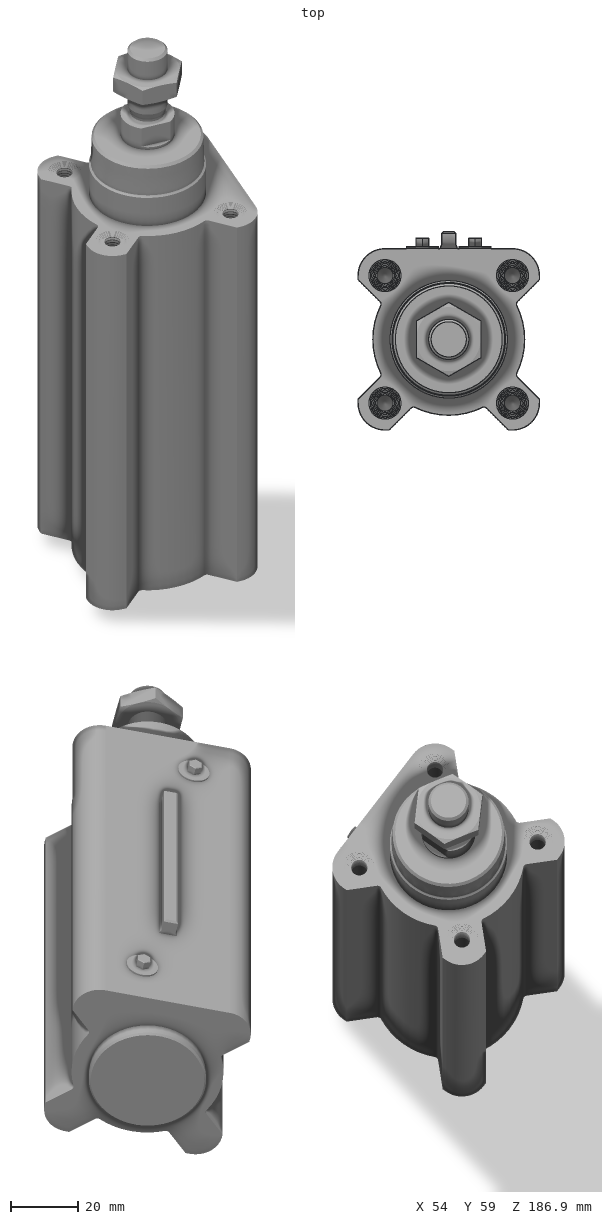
import cadquery as cq
import math

TOTAL_HEIGHT = 186.9
BODY_BOTTOM = 4.1
BODY_TOP = 134.2
COLLAR_STEP = 145.0
COLLAR_TOP = 155.3
FLATS_BOTTOM = 156.2
SHOULDER_TOP = 163.0
NECK_TOP = 164.8
NUT_BOTTOM = 173.5
NUT_HEIGHT = 6.0
BODY_MIDDLE = (BODY_BOTTOM + BODY_TOP) / 2

BODY_WIDTH = 54.0
CORNER_RADIUS = 8.0
BOSS_PLACE = BODY_WIDTH / 2 - CORNER_RADIUS
BARREL_RADIUS = 22.6
ARM_WIDTH = 13.0
ARM_ANGLE = 45.0
ARM_FILLET = 1.1
EDGE_TOLERANCE = 0.02

COLLAR_DIAMETER = 35.0
TAPER_TOP_DIAMETER = 33.3
COLLAR_CHAMFER = 0.7
STEP_CHAMFER = 0.5
REAR_CHAMFER = 0.5

SOCKET_DIAMETER = 9.5
SOCKET_STEPS = 6
SOCKET_STEP_DEPTH = 0.1
HOLE_DIAMETER = 4.9
HOLE_DEPTH = 18.7
HOLE_GROOVES = 6
GROOVE_DIAMETER = 5.5
GROOVE_PITCH = 1.0
DRILL_POINT_ANGLE = 118.0

RAIL_WIDTH = 4.3
RAIL_LENGTH = 64.1
RAIL_HEIGHT = 5.0
RAIL_CHAMFER = 0.5
RAIL_FOOT_WIDTH = 5.2
RAIL_FOOT_HEIGHT = 1.1
SCREW_OFFSET_X = 7.8
SCREW_END_DISTANCE = 15.0
SCREW_FLANGE_DIAMETER = 9.5
SCREW_FLANGE_HEIGHT = 0.5
SCREW_HEAD_ACROSS_CORNERS = 4.5
SCREW_HEAD_TOP = 3.2
SCREW_CHAMFER = 0.2

ROD_DIAMETER = 16.0
ROD_FLATS_WIDTH = 13.0
THREAD_DIAMETER = 12.0
THREAD_CHAMFER = 0.7
THREAD_RUNOUT = 1.9
NECK_DIAMETER = 10.7
NECK_GROOVE_DIAMETER = 10.3
NECK_BASE_DIAMETER = 11.4
NECK_BAND = 0.5
NUT_ACROSS_FLATS = 19.0
NUT_CHAMFER_ANGLE = 15.0
HEXAGON_HALF_ANGLE = 30.0


def cylinder(diameter, bottom, top):
    """Upright cylinder on the Z axis between two heights."""
    return cq.Workplane("XY").workplane(offset=bottom).circle(diameter / 2).extrude(top - bottom)


def revolved(points):
    """Solid of revolution about the Z axis from (radius, height) points."""
    return cq.Workplane("XZ").polyline(points).close().revolve(360, (0, 0, 0), (0, 1, 0))


def make_profile():
    """Round barrel with a corner arm on each diagonal and a flat +Y side."""
    height = BODY_TOP - BODY_BOTTOM
    half = BODY_WIDTH / 2
    plane = cq.Workplane("XY").workplane(offset=BODY_BOTTOM)
    envelope = plane.rect(BODY_WIDTH, BODY_WIDTH).extrude(height).edges("|Z").fillet(CORNER_RADIUS)

    arms = plane.polyline([(0, 0), (half, half), (-half, half)]).close().extrude(height)
    for angle in (ARM_ANGLE, -ARM_ANGLE):
        strip = plane.rect(2 * BODY_WIDTH, ARM_WIDTH).extrude(height)
        arms = arms.union(strip.rotate((0, 0, 0), (0, 0, 1), angle))

    profile = plane.circle(BARREL_RADIUS).extrude(height).union(envelope.intersect(arms))

    def is_inner_corner(edge):
        center = edge.Center()
        return abs(math.hypot(center.x, center.y) - BARREL_RADIUS) < EDGE_TOLERANCE

    return profile.edges("|Z").filter(is_inner_corner).fillet(ARM_FILLET)


def make_collars():
    """Stepped front collar with a slight taper, and the short rear collar."""
    front = revolved([
        (0, BODY_TOP),
        (COLLAR_DIAMETER / 2, BODY_TOP),
        (COLLAR_DIAMETER / 2, COLLAR_STEP - STEP_CHAMFER),
        (COLLAR_DIAMETER / 2 - STEP_CHAMFER, COLLAR_STEP),
        (TAPER_TOP_DIAMETER / 2, COLLAR_TOP - COLLAR_CHAMFER),
        (TAPER_TOP_DIAMETER / 2 - COLLAR_CHAMFER, COLLAR_TOP),
        (0, COLLAR_TOP),
    ])
    rear = cylinder(COLLAR_DIAMETER, 0, BODY_BOTTOM).faces("<Z").chamfer(REAR_CHAMFER)
    return front.union(rear)


def make_socket():
    """Cutter for one mounting socket: stepped countersink, grooved hole and drill point."""
    step_width = (SOCKET_DIAMETER - HOLE_DIAMETER) / 2 / SOCKET_STEPS
    points = [(0, BODY_TOP)]
    for step in range(SOCKET_STEPS):
        radius = SOCKET_DIAMETER / 2 - step * step_width
        points.append((radius, BODY_TOP - step * SOCKET_STEP_DEPTH))
        points.append((radius, BODY_TOP - (step + 1) * SOCKET_STEP_DEPTH))

    hole_radius = HOLE_DIAMETER / 2
    groove_top = BODY_TOP - SOCKET_STEPS * SOCKET_STEP_DEPTH
    for groove in range(HOLE_GROOVES):
        height = groove_top - groove * GROOVE_PITCH
        points.append((hole_radius, height))
        points.append((GROOVE_DIAMETER / 2, height - GROOVE_PITCH / 2))

    hole_bottom = BODY_TOP - HOLE_DEPTH
    point_depth = hole_radius / math.tan(math.radians(DRILL_POINT_ANGLE / 2))
    points.append((hole_radius, groove_top - HOLE_GROOVES * GROOVE_PITCH))
    points.append((hole_radius, hole_bottom))
    points.append((0, hole_bottom - point_depth))
    return revolved(points)


def make_rail():
    """Straight rail on the +Y face with a slightly flared foot."""
    face = BODY_WIDTH / 2
    outline = [
        (-RAIL_FOOT_WIDTH / 2, face),
        (RAIL_FOOT_WIDTH / 2, face),
        (RAIL_WIDTH / 2, face + RAIL_FOOT_HEIGHT),
        (RAIL_WIDTH / 2, face + RAIL_HEIGHT),
        (-RAIL_WIDTH / 2, face + RAIL_HEIGHT),
        (-RAIL_WIDTH / 2, face + RAIL_FOOT_HEIGHT),
    ]
    bottom = BODY_MIDDLE - RAIL_LENGTH / 2
    rail = cq.Workplane("XY").workplane(offset=bottom).polyline(outline).close().extrude(RAIL_LENGTH)
    return rail.faces(">Y").chamfer(RAIL_CHAMFER)


def make_screw(x, z):
    """Flanged hexagon head of an adjusting screw standing on the +Y face."""
    plane = cq.Workplane(cq.Plane((x, BODY_WIDTH / 2, z), (0, 0, 1), (0, 1, 0)))
    flange = plane.circle(SCREW_FLANGE_DIAMETER / 2).extrude(SCREW_FLANGE_HEIGHT)
    head = plane.polygon(6, SCREW_HEAD_ACROSS_CORNERS).extrude(SCREW_HEAD_TOP)
    head = head.faces(">Y").chamfer(SCREW_CHAMFER)
    return flange.union(head)


def make_housing():
    """Cylinder housing with its collars, sockets, rail, screws and rod bore."""
    housing = make_profile().union(make_collars()).union(make_rail())
    housing = housing.union(make_screw(SCREW_OFFSET_X, BODY_BOTTOM + SCREW_END_DISTANCE))
    housing = housing.union(make_screw(-SCREW_OFFSET_X, BODY_TOP - SCREW_END_DISTANCE))
    socket = make_socket()
    for x in (-BOSS_PLACE, BOSS_PLACE):
        for y in (-BOSS_PLACE, BOSS_PLACE):
            housing = housing.cut(socket.translate((x, y, 0)))
    return housing.cut(cylinder(ROD_DIAMETER, BODY_TOP, COLLAR_TOP))


def make_rod():
    """Piston rod with wrench flats, a grooved neck and a threaded end."""
    shank = cylinder(ROD_DIAMETER, BODY_TOP, SHOULDER_TOP)
    between_flats = (
        cq.Workplane("XY")
        .workplane(offset=FLATS_BOTTOM)
        .rect(ROD_FLATS_WIDTH, ROD_DIAMETER)
        .extrude(SHOULDER_TOP - FLATS_BOTTOM)
    )
    shank = shank.intersect(cylinder(ROD_DIAMETER, BODY_TOP, FLATS_BOTTOM).union(between_flats))
    end = revolved([
        (0, SHOULDER_TOP),
        (NECK_BASE_DIAMETER / 2, SHOULDER_TOP),
        (NECK_GROOVE_DIAMETER / 2, SHOULDER_TOP + NECK_BAND),
        (NECK_GROOVE_DIAMETER / 2, NECK_TOP - NECK_BAND),
        (NECK_DIAMETER / 2, NECK_TOP),
        (THREAD_DIAMETER / 2, NECK_TOP + THREAD_RUNOUT),
        (THREAD_DIAMETER / 2, TOTAL_HEIGHT - THREAD_CHAMFER),
        (THREAD_DIAMETER / 2 - THREAD_CHAMFER, TOTAL_HEIGHT),
        (0, TOTAL_HEIGHT),
    ])
    return shank.union(end)


def make_nut():
    """Hexagon nut with both ends chamfered and flats facing -X and +X."""
    corner_radius = NUT_ACROSS_FLATS / 2 / math.cos(math.radians(HEXAGON_HALF_ANGLE))
    drop = (corner_radius - NUT_ACROSS_FLATS / 2) * math.tan(math.radians(NUT_CHAMFER_ANGLE))
    top = NUT_BOTTOM + NUT_HEIGHT
    hexagon = (
        cq.Workplane("XY")
        .workplane(offset=NUT_BOTTOM)
        .polygon(6, 2 * corner_radius)
        .extrude(NUT_HEIGHT)
        .rotate((0, 0, 0), (0, 0, 1), HEXAGON_HALF_ANGLE)
    )
    chamfered_disc = revolved([
        (0, NUT_BOTTOM),
        (NUT_ACROSS_FLATS / 2, NUT_BOTTOM),
        (corner_radius, NUT_BOTTOM + drop),
        (corner_radius, top - drop),
        (NUT_ACROSS_FLATS / 2, top),
        (0, top),
    ])
    return hexagon.intersect(chamfered_disc).cut(cylinder(THREAD_DIAMETER, NUT_BOTTOM, top))


housing = make_housing()
rod = make_rod()
nut = make_nut()
result = cq.Compound.makeCompound([housing.val(), rod.val(), nut.val()])